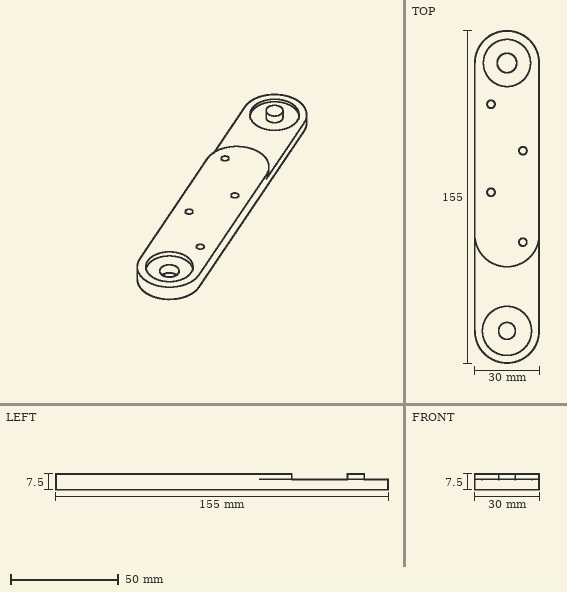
import cadquery as cq

length = 155.0
width = 30.0
end_radius = width / 2
pivot_y = length / 2 - end_radius
base_thickness = 5.0
total_thickness = 7.5

step_center_y = -17.5

socket_diameter = 22.0
socket_depth = 2.5
bore_diameter = 9.0
pin_recess_diameter = 23.0
pin_recess_depth = 1.5
pin_diameter = 7.9

small_hole_diameter = 3.5
small_hole_offset_x = 7.5
small_holes = [
    (-small_hole_offset_x, 43.2),
    (small_hole_offset_x, 21.5),
    (-small_hole_offset_x, 2.2),
    (small_hole_offset_x, -21.1),
]


def rounded_bar(start_y, end_y, height):
    """Full-width bar with round ends centred at start_y and end_y."""
    return (
        cq.Workplane("XY")
        .center(0, (start_y + end_y) / 2)
        .slot2D(end_y - start_y + width, width, 90)
        .extrude(height)
    )


def cylinder(y, diameter, bottom, top):
    """Vertical cylinder on the centre line of the bar."""
    return (
        cq.Workplane("XY", origin=(0, y, bottom))
        .circle(diameter / 2)
        .extrude(top - bottom)
    )


body = rounded_bar(-pivot_y, pivot_y, base_thickness)
body = body.union(rounded_bar(step_center_y, pivot_y, total_thickness))

socket_floor = total_thickness - socket_depth
body = body.cut(cylinder(pivot_y, socket_diameter, socket_floor, total_thickness))
body = body.cut(cylinder(pivot_y, bore_diameter, 0, total_thickness))

recess_floor = base_thickness - pin_recess_depth
body = body.cut(cylinder(-pivot_y, pin_recess_diameter, recess_floor, base_thickness))
body = body.union(cylinder(-pivot_y, pin_diameter, 0, total_thickness))

hole_cutters = (
    cq.Workplane("XY")
    .pushPoints(small_holes)
    .circle(small_hole_diameter / 2)
    .extrude(total_thickness)
)
result = body.cut(hole_cutters)